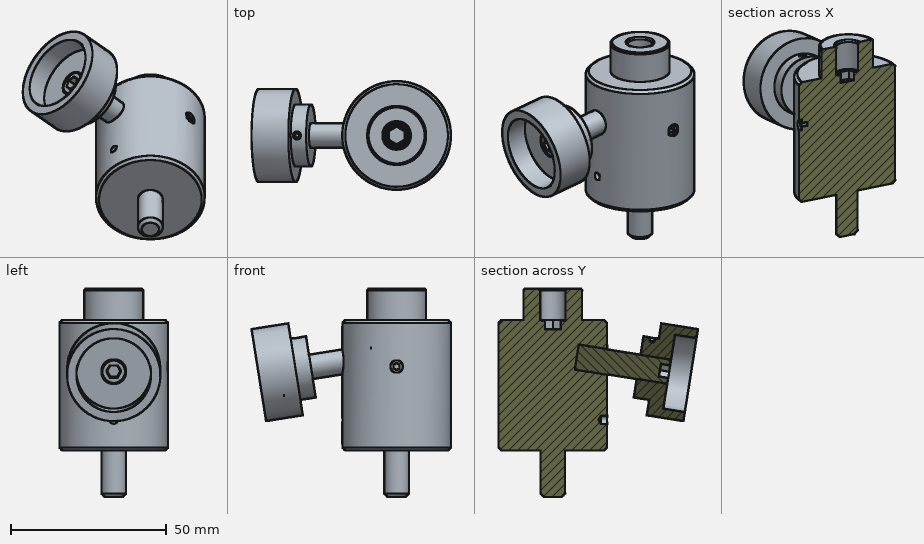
import cadquery as cq
import math


housing_diameter = 35.0
housing_height = 42.0
housing_chamfer = 1.0
collar_diameter = 19.0
collar_height = 10.0
collar_chamfer = 0.5
spigot_diameter = 8.0
spigot_length = 15.0
spigot_chamfer = 1.2

bore_diameter = 8.0
bore_depth = collar_height
bore_chamfer = 0.6
socket_end_diameter = 6.85
socket_end_chamfer = 0.35
bore_hex_flats = 5.0
bore_hex_depth = 3.0

side_socket_diameter = 4.0
side_socket_depth = 1.0
side_hex_flats = 2.0
side_hex_depth = 2.0
side_socket_height = 27.0

side_hole_diameter = 2.5
side_hole_depth = 2.0
side_hole_height = 9.85

drill_tip_angle = 120.0

tilt_angle = 9.0
knob_diameter = 30.0
knob_width = 12.0
knob_recess_diameter = 24.0
knob_recess_depth = 7.0
hub_diameter = 20.0
hub_width = 5.0
overall_length = 64.16
axis_height_at_center = 31.25

hub_seat_position = 2.0
hub_seat_diameter = 2.5
hub_seat_depth = 0.15
hub_hole_diameter = 1.5
hub_hole_depth = 1.0

stud_diameter = 8.0
stud_length = 30.0
stud_chamfer = 0.35
stud_hex_flats = 4.0
stud_hex_depth = 3.0

housing_radius = housing_diameter / 2
collar_top = housing_height + collar_height
bore_floor = collar_top - bore_depth
tilt = math.radians(tilt_angle)
axis_direction = cq.Vector(math.cos(tilt), 0, math.sin(tilt))
hub_top_direction = cq.Vector(-math.sin(tilt), 0, math.cos(tilt))
knob_face_x = housing_radius - overall_length + knob_diameter / 2 * math.sin(tilt)
knob_face_z = axis_height_at_center + knob_face_x * math.tan(tilt)
knob_face_center = cq.Vector(knob_face_x, 0, knob_face_z)


def plane_at(origin, normal, corner_direction):
    """Workplane whose hexagons have a corner in the given direction."""
    return cq.Workplane(cq.Plane(origin=origin, xDir=corner_direction, normal=normal))


def axis_plane(distance):
    """Workplane across the knob axis, at a distance from the open knob face."""
    return plane_at(knob_face_center + axis_direction * distance, axis_direction, (0, 1, 0))


def hexagon(workplane, flats, depth):
    """Hexagonal prism with the given width across flats."""
    across_corners = flats / math.cos(math.radians(30))
    return workplane.polygon(6, across_corners).extrude(depth)


def round_recess(surface_point, outward, diameter, depth):
    """Cutter for a flat-bottomed round recess in a curved surface."""
    radius = diameter / 2
    clearance = radius
    start = surface_point + outward * clearance
    return cq.Workplane(cq.Solid.makeCylinder(radius, clearance + depth, pnt=start, dir=outward * -1))


def drilled_hole(surface_point, outward, diameter, depth):
    """Cutter for a round recess that ends in a drill tip."""
    radius = diameter / 2
    tip_height = radius / math.tan(math.radians(drill_tip_angle / 2))
    tip_base = surface_point - outward * depth
    tip = cq.Workplane(cq.Solid.makeCone(radius, 0, tip_height, pnt=tip_base, dir=outward * -1))
    return round_recess(surface_point, outward, diameter, depth).union(tip)


def make_housing():
    body = (
        cq.Workplane("XY")
        .circle(housing_radius)
        .extrude(housing_height)
        .edges()
        .chamfer(housing_chamfer)
    )
    collar = (
        cq.Workplane("XY", origin=(0, 0, housing_height))
        .circle(collar_diameter / 2)
        .extrude(collar_height)
        .faces(">Z")
        .edges()
        .chamfer(collar_chamfer)
    )
    spigot = (
        cq.Workplane("XY")
        .circle(spigot_diameter / 2)
        .extrude(-spigot_length)
        .faces("<Z")
        .edges()
        .chamfer(spigot_chamfer)
    )
    solid = body.union(collar).union(spigot)
    for cutter in (collar_bore(), side_socket(), side_hole(), stud_shank()):
        solid = solid.cut(cutter)
    return solid


def collar_bore():
    """Chamfered bore, the groove around the socket end, and its hexagon."""
    bore_radius = bore_diameter / 2
    bore = (
        cq.Workplane("XZ")
        .moveTo(0, bore_floor)
        .lineTo(bore_radius, bore_floor)
        .lineTo(bore_radius, collar_top - bore_chamfer)
        .lineTo(bore_radius + bore_chamfer, collar_top)
        .lineTo(0, collar_top)
        .close()
        .revolve(360, (0, 0, 0), (0, 1, 0))
    )
    end_radius = socket_end_diameter / 2
    groove = (
        cq.Workplane("XZ")
        .moveTo(end_radius - socket_end_chamfer, bore_floor)
        .lineTo(end_radius, bore_floor)
        .lineTo(end_radius, bore_floor - socket_end_chamfer)
        .close()
        .revolve(360, (0, 0, 0), (0, 1, 0))
    )
    socket = hexagon(plane_at((0, 0, bore_floor), (0, 0, -1), (0, 1, 0)), bore_hex_flats, bore_hex_depth)
    return bore.union(groove).union(socket)


def side_socket():
    """Recess on the -Y side with a hexagon in its floor."""
    outward = cq.Vector(0, -1, 0)
    surface_point = cq.Vector(0, -housing_radius, side_socket_height)
    recess = round_recess(surface_point, outward, side_socket_diameter, side_socket_depth)
    floor = plane_at(surface_point - outward * side_socket_depth, outward * -1, (0, 0, 1))
    return recess.union(hexagon(floor, side_hex_flats, side_hex_depth))


def side_hole():
    """Drilled hole on the -X side."""
    surface_point = cq.Vector(-housing_radius, 0, side_hole_height)
    return drilled_hole(surface_point, cq.Vector(-1, 0, 0), side_hole_diameter, side_hole_depth)


def stud_shank():
    """Full cylinder of the stud, also the cutter for the holes that hold it."""
    return axis_plane(knob_recess_depth).circle(stud_diameter / 2).extrude(stud_length)


def make_stud():
    head_plane = axis_plane(knob_recess_depth)
    head_end = cq.NearestToPointSelector(head_plane.plane.origin.toTuple())
    shank = stud_shank().faces(head_end).edges().chamfer(stud_chamfer)
    return shank.cut(hexagon(head_plane, stud_hex_flats, stud_hex_depth))


def make_knob():
    rim = axis_plane(0).circle(knob_diameter / 2).extrude(knob_width)
    hub = axis_plane(knob_width).circle(hub_diameter / 2).extrude(hub_width)
    recess = axis_plane(0).circle(knob_recess_diameter / 2).extrude(knob_recess_depth)
    return rim.union(hub).cut(recess).cut(stud_shank()).cut(hub_seat())


def hub_seat():
    """Cutter for the seat in the hub and the hole in its floor."""
    surface_point = (
        knob_face_center
        + axis_direction * (knob_width + hub_seat_position)
        + hub_top_direction * (hub_diameter / 2)
    )
    seat = round_recess(surface_point, hub_top_direction, hub_seat_diameter, hub_seat_depth)
    seat_center = surface_point - hub_top_direction * hub_seat_depth
    return seat.union(drilled_hole(seat_center, hub_top_direction, hub_hole_diameter, hub_hole_depth))


housing = make_housing()
stud = make_stud()
knob = make_knob()

result = cq.Compound.makeCompound([housing.val(), stud.val(), knob.val()])